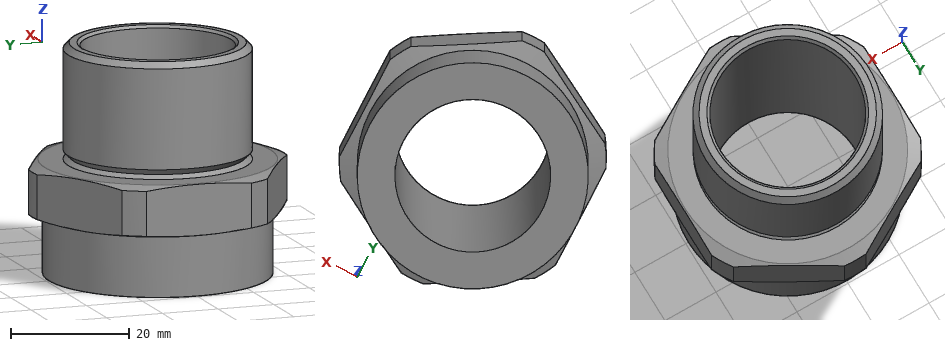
import cadquery as cq
import math

total_height = 39.8
bore_diameter = 26.3
bore_chamfer = 0.5

skirt_diameter = 39.0
skirt_height = 10.45

hex_across_flats = 41.0
hex_corner_diameter = 45.1
hex_top_face_diameter = 40.5
hex_height = 9.2
hex_chamfer_angle = 15.0

spigot_diameter = 32.0
spigot_chamfer = 1.05
groove_diameter = 29.95
groove_lower_height = 0.65

hex_top = skirt_height + hex_height
groove_bottom = hex_top + groove_lower_height
groove_depth = (spigot_diameter - groove_diameter) / 2


def make_turned_solid(profile):
    """Revolve a closed (radius, height) profile around the Z axis."""
    return cq.Workplane("XZ").polyline(profile).close().revolve(360, (0, 0), (0, 1))


def make_hex_collar():
    """Hexagonal prism trimmed by a cylinder with conical ends; flats face +X and -X."""
    across_corners = hex_across_flats / math.cos(math.radians(30))
    prism = (
        cq.Workplane("XY")
        .workplane(offset=skirt_height)
        .transformed(rotate=(0, 0, 90))
        .polygon(6, across_corners)
        .extrude(hex_height)
    )
    corner_radius = hex_corner_diameter / 2
    top_radius = hex_top_face_diameter / 2
    bottom_radius = skirt_diameter / 2
    slope = math.tan(math.radians(hex_chamfer_angle))
    envelope = make_turned_solid([
        (0, skirt_height),
        (bottom_radius, skirt_height),
        (corner_radius, skirt_height + (corner_radius - bottom_radius) * slope),
        (corner_radius, hex_top - (corner_radius - top_radius) * slope),
        (top_radius, hex_top),
        (0, hex_top),
    ])
    return prism.intersect(envelope)


def make_spigot():
    """Round spigot with a chamfered rim and a V-groove above the collar."""
    radius = spigot_diameter / 2
    groove_radius = groove_diameter / 2
    return make_turned_solid([
        (0, hex_top),
        (radius, hex_top),
        (groove_radius, groove_bottom),
        (radius, groove_bottom + groove_depth),
        (radius, total_height - spigot_chamfer),
        (radius - spigot_chamfer, total_height),
        (0, total_height),
    ])


def make_bore():
    """Through bore with a small chamfer at the upper rim."""
    radius = bore_diameter / 2
    return make_turned_solid([
        (0, 0),
        (radius, 0),
        (radius, total_height - bore_chamfer),
        (radius + bore_chamfer, total_height),
        (0, total_height),
    ])


skirt = cq.Workplane("XY").circle(skirt_diameter / 2).extrude(skirt_height)
body = skirt.union(make_hex_collar()).union(make_spigot())
result = body.cut(make_bore())